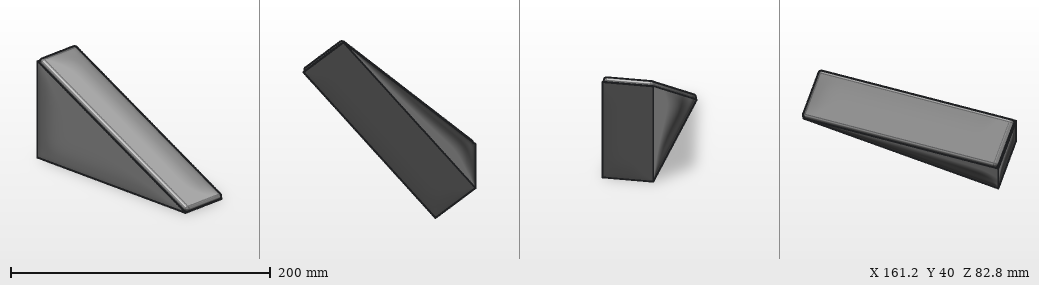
import cadquery as cq
import math

wedge_length = 160.0
wedge_height = 80.0
width = 40.0
base_layer = 0.5
pad_thickness = 3.9
pad_radius = 2.5
upper_inset = 0.6
lower_overhang = 0.08
side_inset = 0.2

slope_length = math.hypot(wedge_length, wedge_height)
slope_angle = math.degrees(math.atan2(wedge_height, wedge_length))


def slope_block(start, end, block_width, bottom, top):
    """Block in slope coordinates: X downhill, Z out of the slope."""
    return (
        cq.Workplane("XY")
        .box(end - start, block_width, top - bottom, centered=(False, True, False))
        .translate((start, 0, bottom))
    )


def place_on_slope(body):
    """Move a body from slope coordinates onto the inclined face."""
    return body.rotate((0, 0, 0), (0, 1, 0), slope_angle).translate((0, 0, wedge_height))


def make_wedge():
    """Wedge with its thin slope layer, cut level at the wedge height."""
    outline = [(0, 0), (wedge_length, 0), (0, wedge_height)]
    wedge = cq.Workplane("XZ").polyline(outline).close().extrude(width / 2, both=True)
    layer = place_on_slope(slope_block(0, slope_length, width, 0, base_layer))
    envelope = cq.Workplane("XY").box(
        2 * wedge_length, width, wedge_height, centered=(True, True, False)
    )
    return wedge.union(layer).intersect(envelope)


def make_pad():
    """Pad with rounded corners and a rounded upper rim."""
    pad = slope_block(
        upper_inset,
        slope_length + lower_overhang,
        width - 2 * side_inset,
        base_layer,
        base_layer + pad_thickness,
    )
    pad = pad.edges("|Z").fillet(pad_radius)
    pad = pad.faces(">Z").edges().fillet(pad_radius)
    return place_on_slope(pad)


result = make_wedge().union(make_pad())